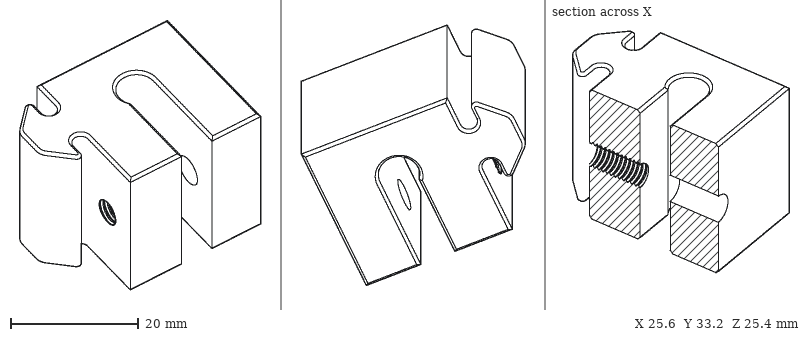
import cadquery as cq
import math

WIDTH = 25.58
DEPTH = 33.25
HEIGHT = 25.4
EDGE_CHAMFER = 0.5
BLOCK_FRONT = 8.18

SLOT_BACK = 23.88
SLOT_WIDTH = 5.82
SLOT_FRONT = SLOT_BACK - SLOT_WIDTH
BORE_RADIUS = 3.25
BORE_X = 9.55
BORE_Y = SLOT_BACK - BORE_RADIUS

RAIL_X = 9.58
NECK_HALF_WIDTH = 3.0
UNDERCUT_RADIUS = 1.4
UNDERCUT_X_OFFSET = NECK_HALF_WIDTH + UNDERCUT_RADIUS
UNDERCUT_Y = BLOCK_FRONT - UNDERCUT_RADIUS
HEAD_BACK = BLOCK_FRONT - 2 * UNDERCUT_RADIUS
TIP_HALF_WIDTH = 2.85
WING_HALF_WIDTH = TIP_HALF_WIDTH + HEAD_BACK
WING_FILLET = 0.8
TIP_FILLET = 2.33

SCREW_X = 19.05
SCREW_Z = HEIGHT / 2
THREAD_MINOR_RADIUS = 4.05 / 2
THREAD_MAJOR_RADIUS = 4.82 / 2
CLEARANCE_RADIUS = 5.1 / 2
THREAD_PITCH = 0.8
THREAD_START_SHIFT = 0.05
ROOT_HALF_WIDTH = 0.05
CREST_HALF_WIDTH = 0.33
BORE_OVERLAP = 0.05


def make_block():
    block = cq.Workplane("XY").box(WIDTH, DEPTH - BLOCK_FRONT, HEIGHT, centered=False)
    block = block.translate((0, BLOCK_FRONT, 0))
    slot = cq.Workplane("XY").box(WIDTH - BORE_X, SLOT_WIDTH, HEIGHT, centered=False)
    slot = slot.translate((BORE_X, SLOT_FRONT, 0))
    bore = cq.Workplane("XY").center(BORE_X, BORE_Y).circle(BORE_RADIUS).extrude(HEIGHT)
    return block.cut(slot).cut(bore)


def make_rail():
    """Neck and arrow-shaped head, with rounded wings and tip corners."""
    head = (
        cq.Workplane("XY")
        .polyline([
            (RAIL_X - TIP_HALF_WIDTH, 0),
            (RAIL_X + TIP_HALF_WIDTH, 0),
            (RAIL_X + WING_HALF_WIDTH, HEAD_BACK),
            (RAIL_X - WING_HALF_WIDTH, HEAD_BACK),
        ])
        .close()
        .extrude(HEIGHT)
    )
    head = head.edges("|Z and <Y").fillet(TIP_FILLET)
    head = head.edges("|Z and >Y").fillet(WING_FILLET)
    neck = (
        cq.Workplane("XY")
        .center(RAIL_X, UNDERCUT_Y)
        .rect(2 * UNDERCUT_X_OFFSET, 2 * UNDERCUT_RADIUS)
        .extrude(HEIGHT)
    )
    undercuts = (
        cq.Workplane("XY")
        .pushPoints([(RAIL_X + side * UNDERCUT_X_OFFSET, UNDERCUT_Y) for side in (-1, 1)])
        .circle(UNDERCUT_RADIUS)
        .extrude(HEIGHT)
    )
    return head.union(neck.cut(undercuts))


def make_screw_cylinder(radius, y_start, y_end):
    cylinder = cq.Solid.makeCylinder(
        radius, y_end - y_start, cq.Vector(SCREW_X, y_start, SCREW_Z), cq.Vector(0, 1, 0)
    )
    return cq.Workplane("XY").add(cylinder)


def make_thread_groove():
    """Helical groove cutter running one turn past each face of the front arm."""
    turns = math.ceil((SLOT_FRONT - BLOCK_FRONT) / THREAD_PITCH) + 2
    helix = cq.Wire.makeHelix(THREAD_PITCH, turns * THREAD_PITCH, THREAD_MINOR_RADIUS)
    inner_radius = THREAD_MINOR_RADIUS - BORE_OVERLAP
    groove = (
        cq.Workplane("XZ")
        .polyline([
            (inner_radius, -CREST_HALF_WIDTH),
            (THREAD_MAJOR_RADIUS, -ROOT_HALF_WIDTH),
            (THREAD_MAJOR_RADIUS, ROOT_HALF_WIDTH),
            (inner_radius, CREST_HALF_WIDTH),
        ])
        .close()
        .sweep(cq.Workplane("XY").add(helix), isFrenet=True)
    )
    groove = groove.rotate((0, 0, 0), (1, 0, 0), -90)
    return groove.translate((SCREW_X, BLOCK_FRONT - THREAD_PITCH + THREAD_START_SHIFT, SCREW_Z))


def make_threaded_hole():
    """Cutter for the front arm: the open hole joined with its thread groove."""
    overshoot = 2 * THREAD_PITCH
    hole = make_screw_cylinder(
        THREAD_MINOR_RADIUS, BLOCK_FRONT - overshoot, SLOT_FRONT + overshoot
    )
    return hole.union(make_thread_groove())


result = make_block().union(make_rail())
result = result.faces("<Z or >Z").edges().chamfer(EDGE_CHAMFER)
result = result.cut(make_screw_cylinder(CLEARANCE_RADIUS, SLOT_BACK, DEPTH))
result = result.cut(make_threaded_hole())